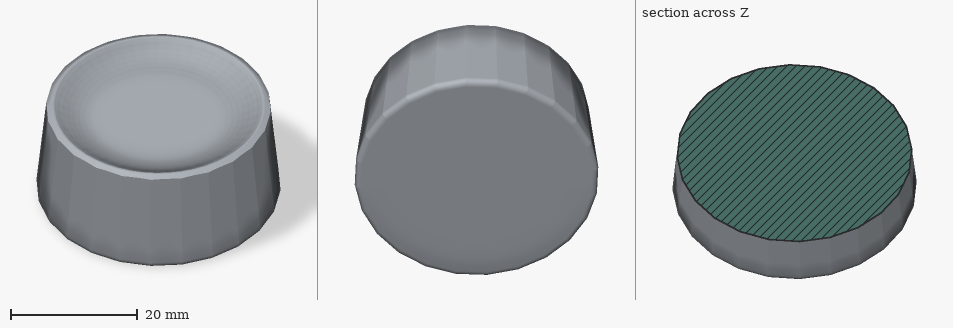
import cadquery as cq
import math

height = 17.5
facet_count = 24
width_across_flats = 38.29
top_half_width = 17.6
foot_radius = 1.0
overlap = 1.0

rim_outer_radius = 16.83
rim_crest_radius = 16.66
dish_radius = 16.45
floor_radius = 10.9
floor_depth = 2.3
rim_slope_drop = 0.35
crest_drop = 0.02
dish_edge_drop = 0.06

rim_slope_height = height - rim_slope_drop
draft = math.atan((width_across_flats / 2 - top_half_width) / (rim_slope_height - foot_radius))
widest_to_corner = foot_radius * (math.tan((math.pi / 2 + draft) / 2) - 1)
base_half_width = width_across_flats / 2 + widest_to_corner


def faceted_body():
    """Tapered prism with flats facing X and Y and a rounded foot."""
    corner_diameter = 2 * base_half_width / math.cos(math.pi / facet_count)
    body = (
        cq.Workplane("XY")
        .transformed(rotate=(0, 0, 180 / facet_count))
        .polygon(facet_count, corner_diameter)
        .extrude(height + overlap, taper=math.degrees(draft))
    )
    return body.faces("<Z").edges().fillet(foot_radius)


def top_envelope():
    """Solid of revolution whose upper side is the sloping rim, its narrow crest and the dish."""
    rim_outer_height = height - crest_drop
    dish_edge_height = height - dish_edge_drop
    floor_height = height - floor_depth
    slope = (rim_outer_height - rim_slope_height) / (top_half_width - rim_outer_radius)
    envelope_radius = base_half_width + overlap
    envelope_edge_height = rim_outer_height - slope * (envelope_radius - rim_outer_radius)
    dish_run = dish_radius - floor_radius
    dish_rise = dish_edge_height - floor_height
    wall_angle = math.atan2(dish_rise, dish_run)
    wall_radius = dish_run / math.sin(2 * wall_angle)
    wall_middle = (
        floor_radius + wall_radius * math.sin(wall_angle),
        floor_height + wall_radius * (1 - math.cos(wall_angle)),
    )
    return (
        cq.Workplane("XZ")
        .moveTo(0, -overlap)
        .lineTo(envelope_radius, -overlap)
        .lineTo(envelope_radius, envelope_edge_height)
        .lineTo(rim_outer_radius, rim_outer_height)
        .lineTo(rim_crest_radius, height)
        .lineTo(dish_radius, dish_edge_height)
        .threePointArc(wall_middle, (floor_radius, floor_height))
        .lineTo(0, floor_height)
        .close()
        .revolve(360, (0, 0, 0), (0, 1, 0))
    )


result = faceted_body().intersect(top_envelope())